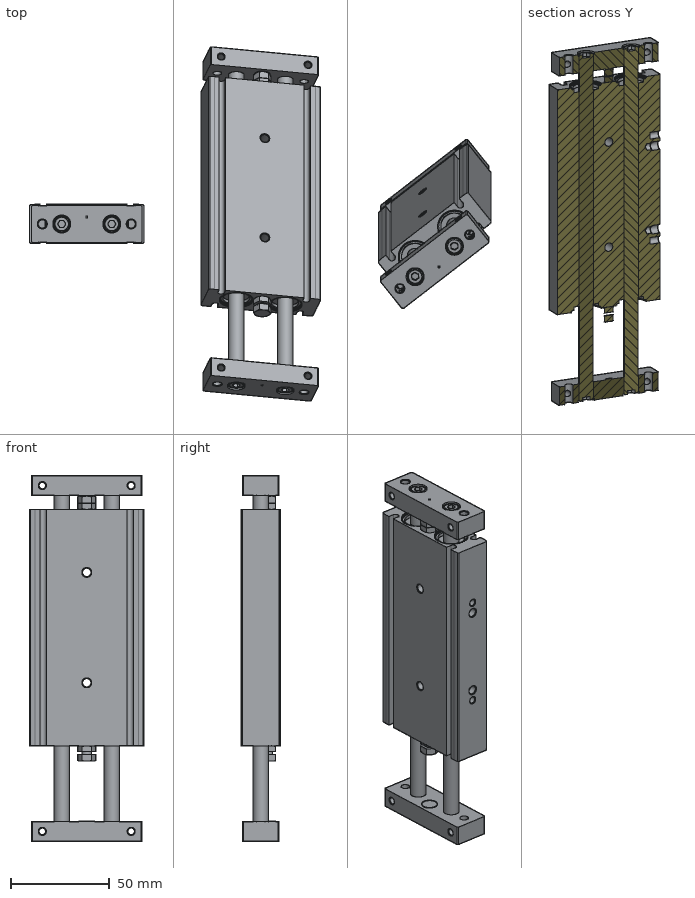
import cadquery as cq
import math

overall_height = 185.0
plate_thickness = 10.0
top_gap = 7.0
housing_length = 119.7
housing_top = overall_height - plate_thickness - top_gap
housing_bottom = housing_top - housing_length
housing_middle = (housing_top + housing_bottom) / 2

housing_width = 58.0
housing_depth = 20.0
corner_chamfer = 0.5
crown_start = 26.0
crown_drop = 0.2

groove_offset = 22.0
groove_width = 3.3
groove_centre_depth = 3.0

mount_spacing = 55.9
port_spacing = 44.4
side_hole_depth = 5.5
port_depth = 4.6
port_bore = 3.3
port_bore_depth = 7.4
drill_tip_angle = 118.0

large_thread = (5.0, 4.3)
small_thread = (4.0, 3.3)

plate_width = 56.0
plate_depth = 18.5
plate_chamfer = 0.5
plate_hole_spacing = 45.0
plate_hole_offset = plate_hole_spacing / 2
vent_diameter = 1.0
vent_depth = 1.8

rod_diameter = 8.0
rod_spacing = 25.3
rod_offset = rod_spacing / 2
rod_end_diameter = 6.8
rod_end_chamfer = (rod_diameter - rod_end_diameter) / 2
rod_end_recess = 0.4
rod_counterbore = 9.0
rod_counterbore_depth = 1.0
socket_across_flats = 3.5
socket_depth = 1.8

seat_mouth_diameter = 17.0
seat_diameter = 16.0
seat_mouth_depth = 0.5
seat_depth = 1.1
seal_diameter = 13.7
seal_depth = 2.8

bolt_offset = 3.5
hex_across_flats = 8.0
head_height = 3.5
nut_height = 3.0
shank_diameter = 5.0
shank_depth = 9.2
hex_chamfer_angle = 30.0
top_bolt_clearance = 0.2
bottom_bolt_clearance = 1.3
bumper_diameter = 8.0
bumper_height = top_gap - nut_height - top_bolt_clearance - head_height


def cylinder(diameter, length, start, direction):
    return cq.Workplane(cq.Solid.makeCylinder(diameter / 2, length, cq.Vector(*start), cq.Vector(*direction)))


def cone(start_diameter, end_diameter, length, start, direction):
    return cq.Workplane(
        cq.Solid.makeCone(start_diameter / 2, end_diameter / 2, length, cq.Vector(*start), cq.Vector(*direction))
    )


def chamfered_mouth(mouth_diameter, hole_diameter, start, direction):
    """45-degree countersink that leads from a face into a hole."""
    return cone(mouth_diameter, hole_diameter, (mouth_diameter - hole_diameter) / 2, start, direction)


def through_thread(thread, depth, x, z):
    """Threaded hole along Y through a body, countersunk at both faces."""
    mouth, drill = thread
    front = (x, -depth / 2, z)
    back = (x, depth / 2, z)
    hole = cylinder(drill, depth, front, (0, 1, 0))
    hole = hole.union(chamfered_mouth(mouth, drill, front, (0, 1, 0)))
    return hole.union(chamfered_mouth(mouth, drill, back, (0, -1, 0)))


def blind_thread(thread, depth, z):
    """Flat-bottomed threaded hole in the -X side of the housing."""
    mouth, drill = thread
    start = (-housing_width / 2, 0, z)
    hole = cylinder(drill, depth, start, (1, 0, 0))
    return hole.union(chamfered_mouth(mouth, drill, start, (1, 0, 0)))


def port(z):
    """Air port in the -X side: a threaded hole with a narrower, cone-tipped bore behind it."""
    face_x = -housing_width / 2
    tip_length = port_bore / 2 / math.tan(math.radians(drill_tip_angle / 2))
    bore = cylinder(port_bore, port_bore_depth, (face_x, 0, z), (1, 0, 0))
    tip = cone(port_bore, 0, tip_length, (face_x + port_bore_depth, 0, z), (1, 0, 0))
    return blind_thread(large_thread, port_depth, z).union(bore).union(tip)


def hexagon(across_flats, height, z):
    """Hexagonal prism with two corners on the X axis."""
    return (
        cq.Workplane("XY", origin=(0, 0, z))
        .polygon(6, across_flats / math.cos(math.pi / 6))
        .extrude(height)
    )


def housing_profile():
    half_width = housing_width / 2
    half_depth = housing_depth / 2
    shoulder_x = half_width - corner_chamfer
    shoulder_y = half_depth - crown_drop
    crown_run = shoulder_x - crown_start
    crown_radius = (crown_run**2 + crown_drop**2) / (2 * crown_drop)
    crown_mid_x = crown_start + crown_run / 2
    crown_mid_y = half_depth - crown_radius + math.sqrt(crown_radius**2 - (crown_run / 2) ** 2)
    quarter = (
        cq.Workplane("XY", origin=(0, 0, housing_bottom))
        .lineTo(half_width, 0)
        .lineTo(half_width, shoulder_y - corner_chamfer)
        .lineTo(shoulder_x, shoulder_y)
        .threePointArc((crown_mid_x, crown_mid_y), (crown_start, half_depth))
        .lineTo(0, half_depth)
        .close()
        .extrude(housing_length)
    )
    half = quarter.union(quarter.mirror("XZ"))
    return half.union(half.mirror("YZ")).clean()


def sensor_groove(side, face):
    """Round-bottomed slot along the whole broad face."""
    x = side * groove_offset
    y = face * (housing_depth / 2 - groove_centre_depth)
    channel = cylinder(groove_width, housing_length, (x, y, housing_bottom), (0, 0, 1))
    slot = cq.Workplane("XY").box(groove_width, groove_centre_depth, housing_length)
    return channel.union(slot.translate((x, y + face * groove_centre_depth / 2, housing_middle)))


def seal_seat(side, end_z, inward):
    """Stepped seat around a rod in one end of the housing."""
    x = side * rod_offset
    start = (x, 0, end_z)
    direction = (0, 0, inward)
    seat = cylinder(seat_diameter, seat_depth, start, direction)
    seat = seat.union(cylinder(seat_mouth_diameter, seat_mouth_depth, start, direction))
    return seat.union(cylinder(seal_diameter, seal_depth, start, direction))


def make_housing():
    body = housing_profile()
    for side in (-1, 1):
        for face in (-1, 1):
            body = body.cut(sensor_groove(side, face))
        body = body.cut(
            cylinder(rod_diameter, housing_length, (side * rod_offset, 0, housing_bottom), (0, 0, 1))
        )
        body = body.cut(seal_seat(side, housing_top, -1))
        body = body.cut(seal_seat(side, housing_bottom, 1))
    for end in (-1, 1):
        mount_z = housing_middle + end * mount_spacing / 2
        body = body.cut(through_thread(large_thread, housing_depth, 0, mount_z))
        body = body.cut(blind_thread(small_thread, side_hole_depth, mount_z))
        body = body.cut(port(housing_middle + end * port_spacing / 2))
    body = body.cut(cylinder(shank_diameter, shank_depth, (0, bolt_offset, housing_top), (0, 0, -1)))
    return body.cut(cylinder(shank_diameter, shank_depth, (0, bolt_offset, housing_bottom), (0, 0, 1)))


def make_end_plate(outer_z, inward):
    """End plate whose outer face lies at outer_z; inward is the Z direction towards the housing."""
    direction = (0, 0, inward)
    end_mouth, end_drill = large_thread
    inner_z = outer_z + inward * plate_thickness
    middle_z = (outer_z + inner_z) / 2
    plate = (
        cq.Workplane("XY")
        .box(plate_width, plate_depth, plate_thickness)
        .edges("|Z")
        .chamfer(plate_chamfer)
        .translate((0, 0, middle_z))
    )
    plate = plate.union(cylinder(bumper_diameter, bumper_height, (0, bolt_offset, inner_z), direction))
    plate = plate.cut(cylinder(vent_diameter, vent_depth, (0, bolt_offset, outer_z), direction))
    for side in (-1, 1):
        rod_x = side * rod_offset
        outer = (rod_x, 0, outer_z)
        plate = plate.cut(cylinder(rod_diameter, plate_thickness, outer, direction))
        plate = plate.cut(cylinder(rod_counterbore, rod_counterbore_depth, outer, direction))
        hole_x = side * plate_hole_offset
        hole_start = (hole_x, 0, outer_z)
        plate = plate.cut(cylinder(end_drill, plate_thickness, hole_start, direction))
        plate = plate.cut(chamfered_mouth(end_mouth, end_drill, hole_start, direction))
        plate = plate.cut(through_thread(small_thread, plate_depth, hole_x, middle_z))
    return plate


def make_rod(side):
    """Guide rod through both plates, with a hexagon socket in each chamfered end."""
    bottom = rod_end_recess
    top = overall_height - rod_end_recess
    rod = cylinder(rod_diameter, top - bottom, (0, 0, bottom), (0, 0, 1)).edges().chamfer(rod_end_chamfer)
    rod = rod.cut(hexagon(socket_across_flats, socket_depth, top - socket_depth))
    rod = rod.cut(hexagon(socket_across_flats, socket_depth, bottom))
    return rod.translate((side * rod_offset, 0, 0))


def chamfered_hexagon(height):
    """Hexagon from z = 0 up, its upper corners cut back by a cone."""
    corner_diameter = hex_across_flats / math.cos(math.pi / 6)
    drop = (corner_diameter - hex_across_flats) / 2 * math.tan(math.radians(hex_chamfer_angle))
    envelope = cylinder(corner_diameter, height - drop, (0, 0, 0), (0, 0, 1))
    envelope = envelope.union(cone(corner_diameter, hex_across_flats, drop, (0, 0, height - drop), (0, 0, 1)))
    return hexagon(hex_across_flats, height, 0).intersect(envelope)


def make_stop_bolt(end_z, outward, clearance):
    """Hexagon bolt with its lock nut against the housing end; clearance separates head and nut."""
    nut = chamfered_hexagon(nut_height).rotate((0, 0, 0), (1, 0, 0), 180).translate((0, 0, nut_height))
    head_start = nut_height + clearance
    head = chamfered_hexagon(head_height).translate((0, 0, head_start))
    shank = cylinder(shank_diameter, shank_depth + head_start, (0, 0, -shank_depth), (0, 0, 1))
    bolt = shank.union(nut).union(head)
    if outward < 0:
        bolt = bolt.rotate((0, 0, 0), (1, 0, 0), 180)
    return bolt.translate((0, bolt_offset, end_z))


housing = make_housing()
top_plate = make_end_plate(overall_height, -1)
bottom_plate = make_end_plate(0, 1)
rods = [make_rod(side) for side in (-1, 1)]
top_bolt = make_stop_bolt(housing_top, 1, top_bolt_clearance)
bottom_bolt = make_stop_bolt(housing_bottom, -1, bottom_bolt_clearance)

result = cq.Compound.makeCompound(
    [
        housing.val(),
        top_plate.val(),
        bottom_plate.val(),
        *[rod.val() for rod in rods],
        top_bolt.val(),
        bottom_bolt.val(),
    ]
)